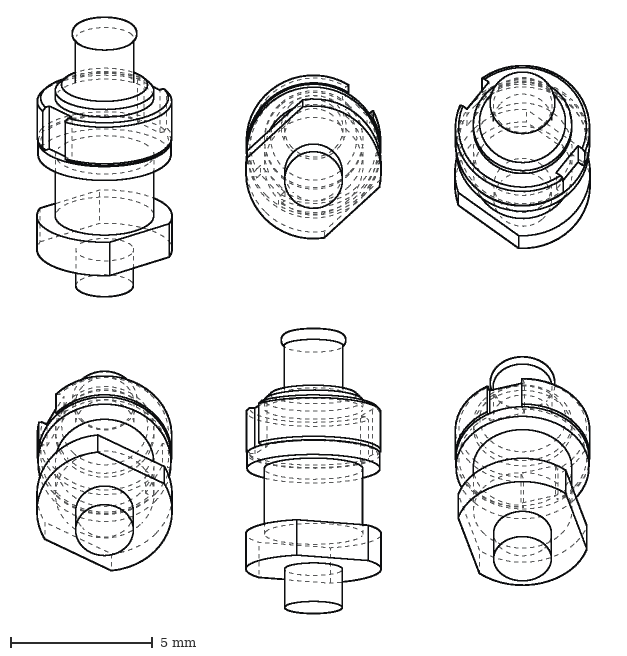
import cadquery as cq
import math

TOTAL_HEIGHT = 9.88
FLANGE_BOTTOM = 1.39
FLANGE_TOP = 2.67
COLLAR_BOTTOM = 5.02
NUT_BOTTOM = 5.55
NUT_TOP = 7.19
HUB_TOP = 7.70

PIN_RADIUS = 1.02
FLANGE_RADIUS = 2.39
BODY_RADIUS = 1.74
COLLAR_RADIUS = 2.35
NUT_RADIUS = 2.375
NUT_CHAMFER = 0.12
HUB_CHAMFER = 0.22
STEM_RADIUS = 1.035
STEM_FILLET = 0.12
BEAD_CORE_RADIUS = 0.92
BEAD_ROUND = 0.225

FLANGE_ACROSS_FLATS = 3.96
SLOT_WIDTH = 1.27
SLOT_FLOOR_TO_FLOOR = 3.96


def disc(radius, bottom, top):
    """Plain cylinder on the Z axis between two heights."""
    return cq.Workplane("XY").workplane(offset=bottom).circle(radius).extrude(top - bottom)


def make_flange():
    """Round flange with two parallel flats facing +X and -X."""
    height = FLANGE_TOP - FLANGE_BOTTOM
    flats = cq.Workplane("XY").box(
        FLANGE_ACROSS_FLATS, 2 * FLANGE_RADIUS, height, centered=(True, True, False)
    )
    flats = flats.translate((0, 0, FLANGE_BOTTOM))
    return disc(FLANGE_RADIUS, FLANGE_BOTTOM, FLANGE_TOP).intersect(flats)


def make_nut():
    """Ring nut, chamfered on both rims, with a driving slot on +Y and -Y."""
    nut = disc(NUT_RADIUS, NUT_BOTTOM, NUT_TOP).edges("%CIRCLE").chamfer(NUT_CHAMFER)
    slot_depth = NUT_RADIUS - SLOT_FLOOR_TO_FLOOR / 2
    slot_center = SLOT_FLOOR_TO_FLOOR / 2 + slot_depth / 2
    for side in (-1, 1):
        slot = cq.Workplane("XY").box(
            SLOT_WIDTH, slot_depth, NUT_TOP - NUT_BOTTOM, centered=(True, True, False)
        )
        nut = nut.cut(slot.translate((0, side * slot_center, NUT_BOTTOM)))
    return nut


def make_body():
    """Cylindrical body running up to the chamfered hub above the nut."""
    return disc(BODY_RADIUS, FLANGE_TOP, HUB_TOP).faces(">Z").edges().chamfer(HUB_CHAMFER)


def make_stem():
    """Upper stem with a fillet at its root and a rounded bead at its tip."""
    bead_center = TOTAL_HEIGHT - BEAD_ROUND
    overhang = STEM_RADIUS - BEAD_CORE_RADIUS
    bead_bottom = bead_center - math.sqrt(BEAD_ROUND**2 - overhang**2)
    fillet_reach = STEM_FILLET * (1 - math.sqrt(0.5))
    profile = (
        cq.Workplane("XZ")
        .moveTo(0, HUB_TOP)
        .lineTo(STEM_RADIUS + STEM_FILLET, HUB_TOP)
        .threePointArc(
            (STEM_RADIUS + fillet_reach, HUB_TOP + fillet_reach),
            (STEM_RADIUS, HUB_TOP + STEM_FILLET),
        )
        .lineTo(STEM_RADIUS, bead_bottom)
        .threePointArc(
            (BEAD_CORE_RADIUS + BEAD_ROUND, bead_center),
            (BEAD_CORE_RADIUS, TOTAL_HEIGHT),
        )
        .lineTo(0, TOTAL_HEIGHT)
        .close()
    )
    return profile.revolve(360, (0, 0, 0), (0, 1, 0))


pin = disc(PIN_RADIUS, 0, FLANGE_BOTTOM)
collar = disc(COLLAR_RADIUS, COLLAR_BOTTOM, NUT_BOTTOM)

result = (
    pin.union(make_flange())
    .union(make_body())
    .union(collar)
    .union(make_nut())
    .union(make_stem())
)